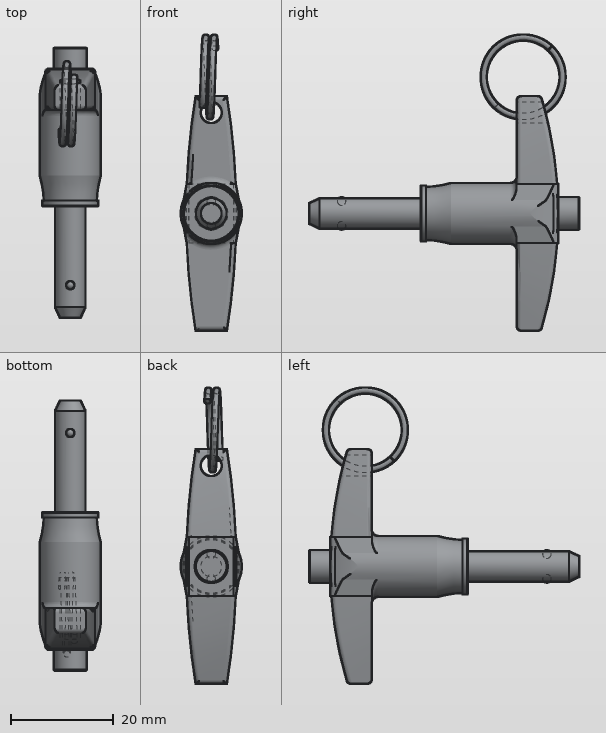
import cadquery as cq
import math


ARM_LENGTH = 22.9
ARM_ROOT_HALF_WIDTH = 4.9
ARM_TIP_HALF_WIDTH = 3.05
GRIP_BACK_Y = 8.15
ARM_TIP_BACK_Y = 4.75
ARM_EDGE_RADIUS = 0.9

HUB_HALF_HEIGHT = 5.8
HUB_HALF_WIDTH = 4.8
HUB_BACK_HALF_WIDTH = 4.35
HUB_MID_HALF_WIDTH = 5.5
HUB_FLANK_Y = 2.8
FLARE_APEX = 5.9
ROOT_RADIUS = 1.15

BARREL_DIAMETER = 12.0
BARREL_RADIUS = BARREL_DIAMETER / 2
NECK_START_Y = -12.8
NECK_MID_RADIUS = 5.45
NECK_RADIUS = 5.2
FLANGE_BACK_Y = -17.65
FLANGE_FRONT_Y = -18.75
FLANGE_RADIUS = 5.5
FLANGE_CHAMFER = 0.2
SHANK_RADIUS = 3.0
TIP_RADIUS = 2.0
TIP_CONE_LENGTH = 2.1
SHANK_END_Y = -40.5

BUTTON_RADIUS = 3.25
BUTTON_END_Y = 12.25
BUTTON_CHAMFER = 0.25

BALL_RADIUS = 0.8
BALL_Y = -34.15
BALL_PROTRUSION = 0.2
BALL_OFFSET = SHANK_RADIUS + BALL_PROTRUSION - BALL_RADIUS

RING_HOLE_RADIUS = 2.0
RING_HOLE_Z = 19.7
WIRE_RADIUS = 0.65
COIL_RADIUS = 7.7
RING_Y = 1.3
RING_Z = 26.6
RING_START_X = -1.7
RING_END_X = 0.75
RING_TURNS = 1.5
RING_START_ANGLE = 227


def extrude_along_y(outline, y_start, y_end):
    """Extrude an XZ outline between two Y positions."""
    return outline.extrude(y_start - y_end).translate((0, y_start, 0))


def revolve_about_y(profile):
    """Revolve an XY profile, x being the radius, about the pin axis."""
    return profile.revolve(360, (0, 0, 0), (0, 1, 0))


def make_arm(front_edges_to_round):
    """Upper arm from the pin axis to its tip; both outlines narrow along arcs."""
    width_outline = (
        cq.Workplane("XZ")
        .moveTo(-ARM_TIP_HALF_WIDTH, ARM_LENGTH)
        .lineTo(ARM_TIP_HALF_WIDTH, ARM_LENGTH)
        .threePointArc(arc_point(ARM_ROOT_HALF_WIDTH, ARM_TIP_HALF_WIDTH), (ARM_ROOT_HALF_WIDTH, 0))
        .lineTo(-ARM_ROOT_HALF_WIDTH, 0)
        .threePointArc(
            arc_point(ARM_ROOT_HALF_WIDTH, ARM_TIP_HALF_WIDTH, side=-1),
            (-ARM_TIP_HALF_WIDTH, ARM_LENGTH),
        )
        .close()
    )
    depth_outline = (
        cq.Workplane("YZ")
        .lineTo(0, ARM_LENGTH)
        .lineTo(ARM_TIP_BACK_Y, ARM_LENGTH)
        .threePointArc(arc_point(GRIP_BACK_Y, ARM_TIP_BACK_Y), (GRIP_BACK_Y, 0))
        .close()
    )
    blank = extrude_along_y(width_outline, 0, GRIP_BACK_Y).intersect(
        depth_outline.extrude(ARM_ROOT_HALF_WIDTH, both=True)
    )
    back_face = blank.faces(cq.selectors.NearestToPointSelector((0, GRIP_BACK_Y, ARM_LENGTH / 3)))
    back_edges = back_face.edges("not <Z").vals()
    front_edges = [
        edge
        for position in front_edges_to_round
        for edge in blank.faces("<Y").edges(position).vals()
    ]
    return blank.newObject(back_edges + front_edges).fillet(ARM_EDGE_RADIUS)


def arc_point(root, tip, side=1):
    """Halfway point of an arc that starts parallel to the arm and bends from root to tip."""
    sagitta = root - tip
    radius = (ARM_LENGTH**2 + sagitta**2) / (2 * sagitta)
    half_angle = math.asin(ARM_LENGTH / radius) / 2
    return side * (root - radius * (1 - math.cos(half_angle))), radius * math.sin(half_angle)


def make_flare(y_start, y_end):
    """Six-sided block that widens from the arm roots to the barrel surface."""
    outline = (
        cq.Workplane("XZ")
        .moveTo(-HUB_HALF_WIDTH, HUB_HALF_HEIGHT)
        .lineTo(HUB_HALF_WIDTH, HUB_HALF_HEIGHT)
        .lineTo(FLARE_APEX, 0)
        .lineTo(HUB_HALF_WIDTH, -HUB_HALF_HEIGHT)
        .lineTo(-HUB_HALF_WIDTH, -HUB_HALF_HEIGHT)
        .lineTo(-FLARE_APEX, 0)
        .close()
    )
    return extrude_along_y(outline, y_start, y_end)


def make_hub():
    """Flared barrel end round the pin axis, its flanks curving inwards to the back."""
    barrel_end = extrude_along_y(cq.Workplane("XZ").circle(BARREL_RADIUS), 0, GRIP_BACK_Y)
    core = barrel_end.intersect(
        cq.Workplane("XY").box(2 * BARREL_DIAMETER, 2 * BARREL_DIAMETER, 2 * HUB_HALF_HEIGHT)
    )
    mid_y = (HUB_FLANK_Y + GRIP_BACK_Y) / 2
    flanks = (
        cq.Workplane("XY")
        .moveTo(-BARREL_DIAMETER, -ROOT_RADIUS)
        .lineTo(BARREL_DIAMETER, -ROOT_RADIUS)
        .lineTo(BARREL_DIAMETER, HUB_FLANK_Y)
        .lineTo(BARREL_RADIUS, HUB_FLANK_Y)
        .threePointArc((HUB_MID_HALF_WIDTH, mid_y), (HUB_BACK_HALF_WIDTH, GRIP_BACK_Y))
        .lineTo(-HUB_BACK_HALF_WIDTH, GRIP_BACK_Y)
        .threePointArc((-HUB_MID_HALF_WIDTH, mid_y), (-BARREL_RADIUS, HUB_FLANK_Y))
        .lineTo(-BARREL_DIAMETER, HUB_FLANK_Y)
        .close()
        .extrude(HUB_HALF_HEIGHT, both=True)
    )
    return core.union(make_flare(0, GRIP_BACK_Y)).intersect(flanks)


def make_root_blend():
    """Concave ring between barrel and arm faces, trimmed to the arms and the flare."""
    corner = ROOT_RADIUS * (1 - math.sqrt(0.5))
    ring = revolve_about_y(
        cq.Workplane("XY")
        .moveTo(SHANK_RADIUS, 0)
        .lineTo(BARREL_RADIUS + ROOT_RADIUS, 0)
        .threePointArc((BARREL_RADIUS + corner, -corner), (BARREL_RADIUS, -ROOT_RADIUS))
        .lineTo(SHANK_RADIUS, -ROOT_RADIUS)
        .close()
    )
    reach = 2 * (BARREL_RADIUS + ROOT_RADIUS)
    arm_band = cq.Workplane("XY").box(2 * HUB_HALF_WIDTH, reach, reach)
    return ring.intersect(arm_band.union(make_flare(-ROOT_RADIUS, 0)))


def make_turned_core():
    """Barrel with waisted neck, flange and shank with a conical tip."""
    return revolve_about_y(
        cq.Workplane("XY")
        .moveTo(0, 0)
        .lineTo(BARREL_RADIUS, 0)
        .lineTo(BARREL_RADIUS, NECK_START_Y)
        .threePointArc(
            (NECK_MID_RADIUS, (NECK_START_Y + FLANGE_BACK_Y) / 2), (NECK_RADIUS, FLANGE_BACK_Y)
        )
        .lineTo(FLANGE_RADIUS, FLANGE_BACK_Y)
        .lineTo(FLANGE_RADIUS, FLANGE_FRONT_Y + FLANGE_CHAMFER)
        .lineTo(FLANGE_RADIUS - FLANGE_CHAMFER, FLANGE_FRONT_Y)
        .lineTo(SHANK_RADIUS, FLANGE_FRONT_Y)
        .lineTo(SHANK_RADIUS, SHANK_END_Y + TIP_CONE_LENGTH)
        .lineTo(TIP_RADIUS, SHANK_END_Y)
        .lineTo(0, SHANK_END_Y)
        .close()
    )


def make_button():
    """Cylindrical push button at the back of the grip."""
    button = extrude_along_y(cq.Workplane("XZ").circle(BUTTON_RADIUS), HUB_FLANK_Y, BUTTON_END_Y)
    return button.faces(">Y").chamfer(BUTTON_CHAMFER)


def make_ball(side):
    """Locking ball at the top (side = 1) or bottom (side = -1) of the shank."""
    return cq.Workplane("XY").sphere(BALL_RADIUS).translate((0, BALL_Y, side * BALL_OFFSET))


def make_ball_seat(side):
    """Round-bottomed hole that holds a locking ball."""
    bore = (
        cq.Workplane("XY")
        .center(0, BALL_Y)
        .circle(BALL_RADIUS)
        .extrude(side * BALL_RADIUS * 2)
        .translate((0, 0, side * BALL_OFFSET))
    )
    return bore.union(make_ball(side))


def make_pin_body():
    """Grip, barrel, shank and button, with the ring hole and ball seats cut out."""
    upper_arm = make_arm(("<X", ">X", ">Z"))
    lower_arm = make_arm((">X", ">Z")).mirror("XY")
    body = make_turned_core().union(make_hub()).union(make_root_blend()).union(make_button())
    body = body.union(upper_arm).union(lower_arm)
    ring_hole = extrude_along_y(
        cq.Workplane("XZ").center(0, RING_HOLE_Z).circle(RING_HOLE_RADIUS), 0, GRIP_BACK_Y
    )
    body = body.cut(ring_hole)
    for side in (1, -1):
        body = body.cut(make_ball_seat(side))
    return body


def make_key_ring():
    """Round wire wound as a left-handed helix about X, threaded through the arm."""
    height = RING_END_X - RING_START_X
    path = cq.Wire.makeHelix(height / RING_TURNS, height, COIL_RADIUS, lefthand=True)
    section = cq.Workplane("XZ").center(COIL_RADIUS, 0).circle(WIRE_RADIUS)
    coil = section.sweep(cq.Workplane(path), isFrenet=True)
    return (
        coil.rotate((0, 0, 0), (1, 1, 1), 120)
        .rotate((0, 0, 0), (1, 0, 0), RING_START_ANGLE)
        .translate((RING_START_X, RING_Y, RING_Z))
    )


pin_body = make_pin_body()
key_ring = make_key_ring()
balls = [make_ball(side) for side in (1, -1)]

result = cq.Compound.makeCompound([pin_body.val(), key_ring.val(), *[ball.val() for ball in balls]])